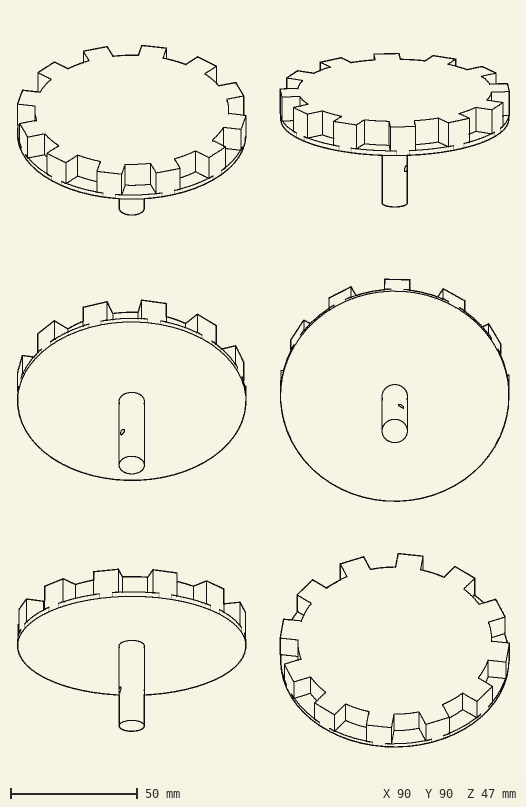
import cadquery as cq
import math

tooth_count = 12
tooth_width = 10.0
flat_distance = 45.0
root_radius = 38.25
tooth_height = 10.0

flush_width = 5.1
disc_radius = math.hypot(flat_distance, flush_width / 2)
disc_thickness = 2.0

shaft_diameter = 10.0
shaft_length = 35.0
cross_hole_diameter = 2.3
cross_hole_height = 15.0

tooth_pitch = 360 / tooth_count


def make_disc():
    """Backing disc with one narrow flat below every tooth."""
    apothem_to_diameter = 2 / math.cos(math.pi / tooth_count)
    flats = (
        cq.Workplane("XY")
        .transformed(rotate=(0, 0, tooth_pitch / 2))
        .polygon(tooth_count, flat_distance * apothem_to_diameter)
        .extrude(disc_thickness)
    )
    return cq.Workplane("XY").circle(disc_radius).extrude(disc_thickness).intersect(flats)


def make_toothed_wheel():
    """Round core with straight-sided, flat-ended teeth."""
    wheel = cq.Workplane("XY").workplane(offset=disc_thickness).circle(root_radius).extrude(tooth_height)
    tooth = (
        cq.Workplane("XY")
        .workplane(offset=disc_thickness)
        .center(flat_distance / 2, 0)
        .rect(flat_distance, tooth_width)
        .extrude(tooth_height)
    )
    for index in range(tooth_count):
        wheel = wheel.union(tooth.rotate((0, 0, 0), (0, 0, 1), index * tooth_pitch))
    return wheel


def make_shaft():
    """Shaft below the disc, drilled across along Y near its free end."""
    shaft = cq.Workplane("XY").circle(shaft_diameter / 2).extrude(-shaft_length)
    cross_hole = (
        cq.Workplane("XZ")
        .center(0, cross_hole_height - shaft_length)
        .circle(cross_hole_diameter / 2)
        .extrude(shaft_diameter, both=True)
    )
    return shaft.cut(cross_hole)


result = make_disc().union(make_toothed_wheel()).union(make_shaft())